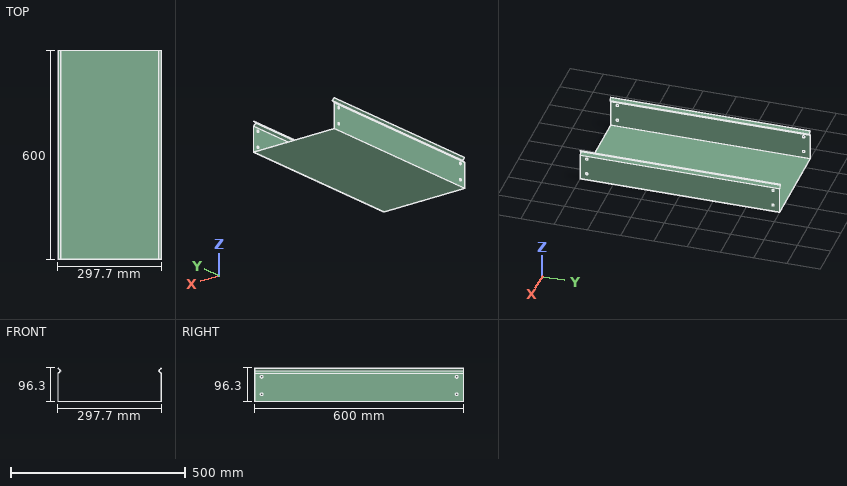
import cadquery as cq
import math

width = 297.74
length = 600.0
height = 96.25
thickness = 1.0

lip_angle = math.radians(45)
lip_depth = 7.62
upper_flange_length = 10.0

hole_diameter = 7.0
hole_end_distance = 20.0
hole_drops = (25.0, 75.0)


def half_section():
    """Right half of the sheet cross-section, along the outer skin and back along the inner skin."""
    outer_x = width / 2
    inner_x = outer_x - thickness

    end_run = thickness * math.sin(lip_angle)
    end_drop = thickness * math.cos(lip_angle)

    groove_x = outer_x - lip_depth
    groove_z = height - end_drop - upper_flange_length * math.sin(lip_angle)
    lip_end_x = groove_x + upper_flange_length * math.cos(lip_angle)
    wall_top_z = groove_z - lip_depth * math.tan(lip_angle)

    ridge_x = groove_x - thickness / math.sin(lip_angle)
    inner_wall_top_z = groove_z - (inner_x - ridge_x) * math.tan(lip_angle)

    return [
        (0, 0),
        (outer_x, 0),
        (outer_x, wall_top_z),
        (groove_x, groove_z),
        (lip_end_x, height - end_drop),
        (lip_end_x - end_run, height),
        (ridge_x, groove_z),
        (inner_x, inner_wall_top_z),
        (inner_x, thickness),
        (0, thickness),
    ]


def tray_body():
    """Half section extruded along Y and mirrored about the YZ plane."""
    half = cq.Workplane("XZ").polyline(half_section()).close().extrude(length / 2, both=True)
    return half.union(half.mirror("YZ")).clean()


def wall_holes():
    """Cylinders passing through both side walls at each end of the tray."""
    hole_y = length / 2 - hole_end_distance
    centres = [(y, height - drop) for y in (-hole_y, hole_y) for drop in hole_drops]
    return (
        cq.Workplane("YZ")
        .pushPoints(centres)
        .circle(hole_diameter / 2)
        .extrude(width, both=True)
    )


result = tray_body().cut(wall_holes())